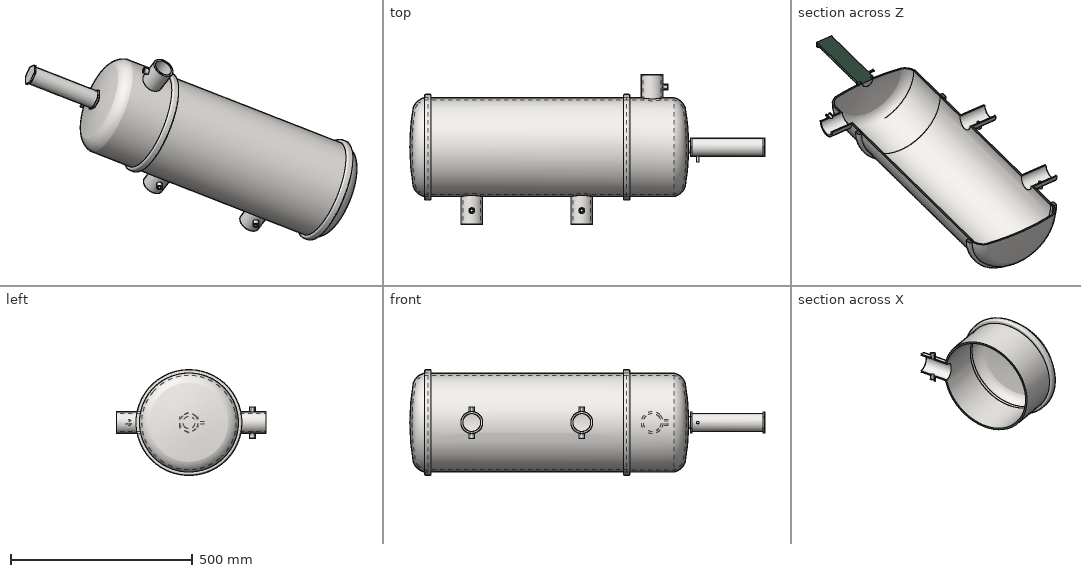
import cadquery as cq
import math

INCH = 25.4

shell_radius = 10.75 * INCH / 2
shell_wall = 6.35
bore_radius = shell_radius - shell_wall

dome_depth = 40.0
seam_radius = 109.0
seam_depth = 9.5
knuckle_radius = 44.0

front_clamp_x = 50.0
rear_clamp_x = 597.8
rear_crown_x = 769.0
overall_length = 978.51

clamp_radius = 11.5 * INCH / 2
clamp_width = 18.5
clamp_fillet = 4.5

nozzle_radius = 60.325 / 2
nozzle_bore_radius = 49.25 / 2
front_nozzle_stations = (171.0, 474.2)
front_nozzle_reach = 8.375 * INCH
rear_nozzle_station = 668.2
rear_nozzle_reach = 7.875 * INCH
coupling_radius = 15.875 / 2
coupling_bore_radius = 4.0
coupling_reach = 43.5
front_coupling_y = -174.8
rear_coupling_y = 166.0

housing_radius = 25.0
hex_across_flats = 2 * INCH
hex_thickness = 5.0
hex_start_x = 773.5
neck_radius = 33.4 / 2
pin_x = 793.8
pin_radius = 3.5
pin_reach = 41.5


def revolve_about_x(profile):
    return profile.close().revolve(360, (0, 0, 0), (1, 0, 0))


def dished_end(crown_x, open_x):
    """Hollow dished end of even wall thickness, running from its crown to open_x."""
    inward = math.copysign(1, open_x - crown_x)
    seam = (crown_x + inward * seam_depth, seam_radius)
    rim = (crown_x + inward * dome_depth, shell_radius)
    crown_radius = (seam_radius**2 + seam_depth**2) / (2 * seam_depth)
    profile = (
        cq.Workplane("XY")
        .moveTo(crown_x, 0)
        .radiusArc(seam, inward * crown_radius)
        .radiusArc(rim, inward * knuckle_radius)
        .lineTo(open_x, shell_radius)
        .lineTo(open_x, 0)
    )
    open_face = ">X" if inward > 0 else "<X"
    return revolve_about_x(profile).faces(open_face).shell(-shell_wall)


def cylinder(start, direction, radius, length):
    return cq.Workplane(cq.Solid.makeCylinder(radius, length, cq.Vector(*start), cq.Vector(*direction)))


def add_nozzle(vessel, station, side, reach, coupling_y, coupling_directions):
    """Add a side nozzle with couplings; side is +1 or -1 along Y."""
    axis_point = (station, 0, 0)
    coupling_point = (station, coupling_y, 0)
    outward = (0, side, 0)
    stub = cylinder(axis_point, outward, nozzle_radius, reach)
    for direction in coupling_directions:
        stub = stub.union(cylinder(coupling_point, direction, coupling_radius, coupling_reach))
    stub = stub.cut(cylinder((0, 0, 0), (1, 0, 0), bore_radius, overall_length))
    vessel = vessel.union(stub)
    for direction in coupling_directions:
        vessel = vessel.cut(cylinder(coupling_point, direction, coupling_bore_radius, coupling_reach))
    return vessel.cut(cylinder(axis_point, outward, nozzle_bore_radius, reach))


def make_front_cap():
    return dished_end(0, front_clamp_x)


def make_shell():
    length = rear_clamp_x - front_clamp_x
    start = (front_clamp_x, 0, 0)
    shell = cylinder(start, (1, 0, 0), shell_radius, length)
    shell = shell.cut(cylinder(start, (1, 0, 0), bore_radius, length))
    for station in front_nozzle_stations:
        shell = add_nozzle(
            shell, station, -1, front_nozzle_reach, front_coupling_y, [(0, 0, 1), (0, 0, -1)]
        )
    return shell


def make_rear_head():
    head = dished_end(rear_crown_x, rear_clamp_x)
    head = add_nozzle(
        head, rear_nozzle_station, 1, rear_nozzle_reach, rear_coupling_y, [(1, 0, 0)]
    )
    neck_hole = cylinder(
        (rear_crown_x - dome_depth, 0, 0), (1, 0, 0), neck_radius, 2 * dome_depth
    )
    return head.cut(neck_hole)


def make_clamp(center_x):
    start = (center_x - clamp_width / 2, 0, 0)
    clamp = cylinder(start, (1, 0, 0), clamp_radius, clamp_width).edges("%CIRCLE").fillet(clamp_fillet)
    return clamp.cut(cylinder(start, (1, 0, 0), shell_radius, clamp_width))


def make_element_housing():
    """Neck, hexagonal collars at both ends of a round barrel, and a pin."""
    neck_start_x = rear_crown_x - shell_wall
    barrel_length = overall_length - hex_start_x
    housing = cylinder((hex_start_x, 0, 0), (1, 0, 0), housing_radius, barrel_length)
    housing = housing.union(
        cylinder((neck_start_x, 0, 0), (1, 0, 0), neck_radius, hex_start_x - neck_start_x)
    )
    hex_across_corners = hex_across_flats / math.cos(math.pi / 6)
    for collar_x in (hex_start_x, overall_length - hex_thickness):
        collar = (
            cq.Workplane("YZ", origin=(collar_x, 0, 0))
            .transformed(rotate=(0, 0, 90))
            .polygon(6, hex_across_corners)
            .extrude(hex_thickness)
        )
        housing = housing.union(collar)
    return housing.union(cylinder((pin_x, 0, 0), (0, -1, 0), pin_radius, pin_reach))


front_cap = make_front_cap()
shell = make_shell()
rear_head = make_rear_head()
clamps = [make_clamp(center_x) for center_x in (front_clamp_x, rear_clamp_x)]
element_housing = make_element_housing()

result = cq.Compound.makeCompound([
    front_cap.val(),
    shell.val(),
    rear_head.val(),
    *[clamp.val() for clamp in clamps],
    element_housing.val(),
])